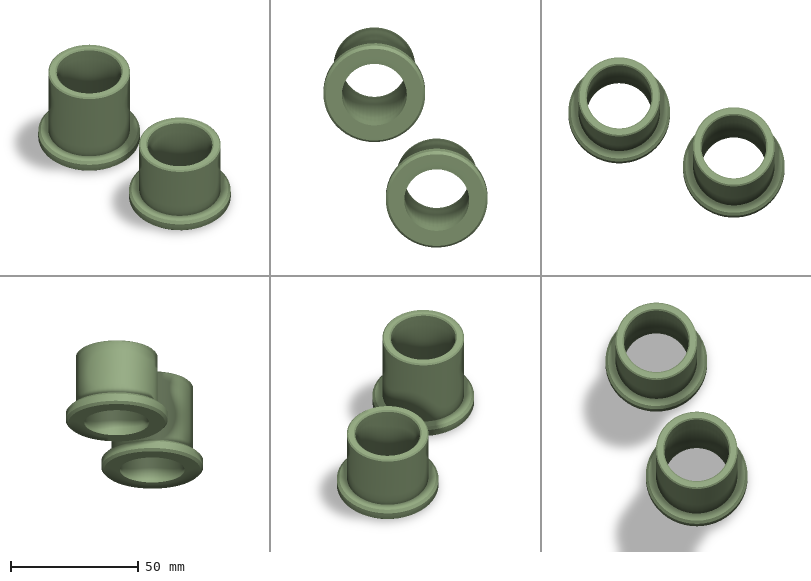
import cadquery as cq

bore_diameter = 25.5
barrel_diameter = 32.0
flange_diameter = 40.0
flange_thickness = 4.95
tall_height = 35.5
short_height = 28.5
bushing_spacing = 50.0
flange_chamfer = 1.0
rim_chamfer = 0.5


def make_bushing(height, center_x):
    """Flanged bushing standing on its flange, with its axis along Z."""
    flange = (
        cq.Workplane("XY")
        .circle(flange_diameter / 2)
        .extrude(flange_thickness)
        .edges()
        .chamfer(flange_chamfer)
    )
    barrel = cq.Workplane("XY").circle(barrel_diameter / 2).extrude(height)
    bore = cq.Workplane("XY").circle(bore_diameter / 2).extrude(height)
    bushing = flange.union(barrel).cut(bore)

    bushing = bushing.faces(">Z").edges().chamfer(rim_chamfer)
    return bushing.translate((center_x, 0, 0))


tall_bushing = make_bushing(tall_height, -bushing_spacing / 2)
short_bushing = make_bushing(short_height, bushing_spacing / 2)

result = cq.Compound.makeCompound([tall_bushing.val(), short_bushing.val()])